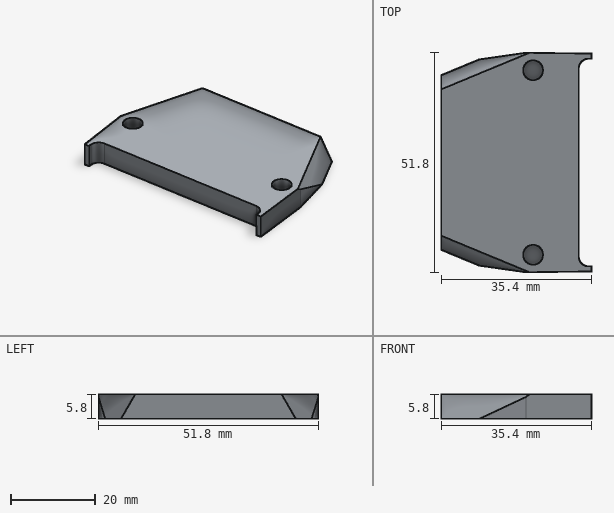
import cadquery as cq
import math

length = 35.44
width = 51.8
thickness = 5.8
half_width = width / 2

front_half_width = 20.6
corner_x = 9.0
corner_y = 24.33
shoulder_x = 19.95
side_taper_angle = 0.7

slant_angle = 30.0

ear_length = 3.0
ear_inner_y = 24.45
recess_fillet = 2.3

hole_diameter = 4.7
hole_depth = 4.5
hole_x = 21.65
hole_y = 21.75


def make_plate():
    rear_half_width = half_width - (length - shoulder_x) * math.tan(math.radians(side_taper_angle))
    half_outline = [
        (0, front_half_width),
        (corner_x, corner_y),
        (shoulder_x, half_width),
        (length, rear_half_width),
    ]
    mirrored = [(x, -y) for x, y in reversed(half_outline)]
    return cq.Workplane("XY").polyline(half_outline + mirrored).close().extrude(thickness)


def make_corner_cutter(side):
    """Waste outside the slanted plane, which leans inward as it rises."""
    edge_slope = (corner_y - front_half_width) / corner_x
    inward_shift = thickness * math.tan(math.radians(slant_angle))
    edge_rise = edge_slope * length

    def section(x, rise):
        bottom_y = front_half_width + rise
        outer_y = bottom_y + width
        points = [
            (side * bottom_y, 0),
            (side * (bottom_y - inward_shift), thickness),
            (side * outer_y, thickness),
            (side * outer_y, 0),
        ]
        return cq.Wire.makePolygon([cq.Vector(x, y, z) for y, z in points], close=True)

    wedge = cq.Solid.makeLoft([section(0, 0), section(length, edge_rise)], True)
    return cq.Workplane(wedge)


def make_recess():
    return (
        cq.Workplane("XY")
        .box(2 * ear_length, 2 * ear_inner_y, thickness, centered=(False, True, False))
        .edges("|Z and <X")
        .fillet(recess_fillet)
        .translate((length - ear_length, 0, 0))
    )


def make_holes():
    return (
        cq.Workplane("XY", origin=(0, 0, thickness - hole_depth))
        .pushPoints([(hole_x, hole_y), (hole_x, -hole_y)])
        .circle(hole_diameter / 2)
        .extrude(hole_depth)
    )


result = make_plate()
for side in (1, -1):
    result = result.cut(make_corner_cutter(side))
result = result.cut(make_recess()).cut(make_holes())